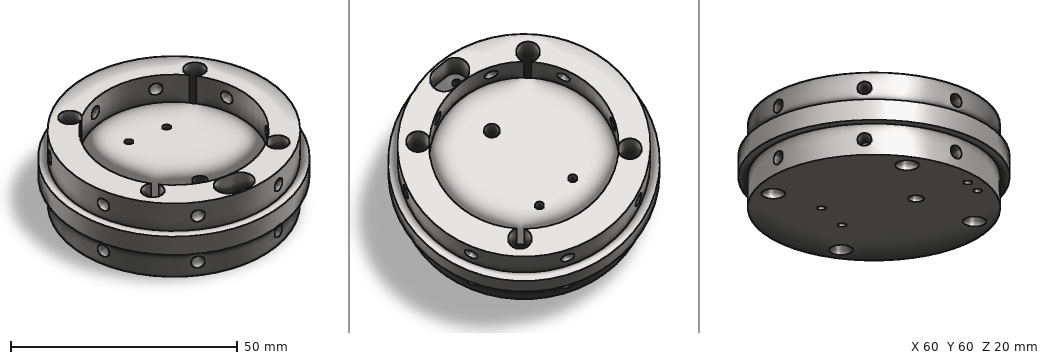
import cadquery as cq
import math

flange_diameter = 60
body_diameter = 55.8
rim_height = 7.5
flange_thickness = 5.0
total_height = 2 * rim_height + flange_thickness

pocket_diameter = 41.9

radial_hole_diameter = 3.1
radial_hole_count = 8
radial_hole_inset = 3.7
blind_hole_depth = 5.0
radial_pitch = 360 / radial_hole_count

corner_hole_diameter = 5.2
corner_hole_circle_radius = 23.4
corner_hole_angle = math.radians(45)
floor_hole_diameter = 3.5
floor_hole_x = 10.45
pin_hole_diameter = 2.0
pin_hole_x = -10.45
pin_hole_spacing = 10.0

slot_x = 24.1
slot_length = 9.6
slot_width = 6.25
slot_depth = rim_height
wire_hole_x = 24.4
wire_hole_spacing = 4.8


def cylinder(diameter, base, height):
    return cq.Workplane("XY").workplane(offset=base).circle(diameter / 2).extrude(height)


def through_holes(diameter, points):
    return cq.Workplane("XY").pushPoints(points).circle(diameter / 2).extrude(total_height)


def pair_across_x_axis(x, spacing):
    return [(x, -spacing / 2), (x, spacing / 2)]


def radial_hole(angle, height, inner_radius):
    hole = (
        cq.Workplane("YZ")
        .workplane(offset=inner_radius)
        .center(0, height)
        .circle(radial_hole_diameter / 2)
        .extrude(body_diameter / 2 - inner_radius)
    )
    return hole.rotate((0, 0, 0), (0, 0, 1), angle)


result = cylinder(body_diameter, 0, total_height)
result = result.union(cylinder(flange_diameter, rim_height, flange_thickness))
result = result.cut(cylinder(pocket_diameter, total_height - rim_height, rim_height))

corner_offset = corner_hole_circle_radius * math.cos(corner_hole_angle)
corner_points = [(x, y) for x in (-corner_offset, corner_offset) for y in (-corner_offset, corner_offset)]
result = result.cut(through_holes(corner_hole_diameter, corner_points))
result = result.cut(through_holes(floor_hole_diameter, [(floor_hole_x, 0)]))
result = result.cut(through_holes(pin_hole_diameter, pair_across_x_axis(pin_hole_x, pin_hole_spacing)))
result = result.cut(through_holes(pin_hole_diameter, pair_across_x_axis(wire_hole_x, wire_hole_spacing)))

slot = (
    cq.Workplane("XY")
    .workplane(offset=total_height - slot_depth)
    .center(slot_x, 0)
    .slot2D(slot_length, slot_width, 90)
    .extrude(slot_depth)
)
result = result.cut(slot)

lower_hole_height = radial_hole_inset
upper_hole_height = total_height - radial_hole_inset
blind_hole_radius = body_diameter / 2 - blind_hole_depth
for index in range(radial_hole_count):
    hole_angle = (index + 0.5) * radial_pitch
    result = result.cut(radial_hole(hole_angle, lower_hole_height, blind_hole_radius))
    result = result.cut(radial_hole(hole_angle, upper_hole_height, 0))